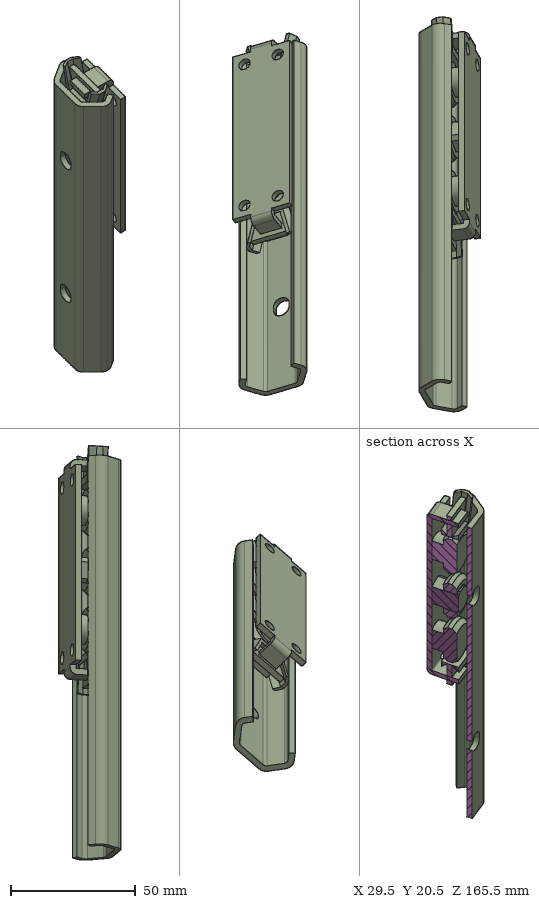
import cadquery as cq
import math

sheet = 2.5
race_angle = 37
race_y = 10.0
flank_run = math.tan(math.radians(race_angle))
flank_cos = math.cos(math.radians(race_angle))
flank_sin = math.sin(math.radians(race_angle))

rail_length = 160.1
rail_width = 29.5
rail_bend = 4.3
rail_lip_y = 15.0
slot_width = 7.0
slot_height = 8.6

bracket_back = 20.5
bracket_front = bracket_back - sheet
bracket_width = 25.5
bracket_length = 88.5
shoulder_inset = 4.0
tab_width = 9.5
tab_tip_y = 6.0
bend_inside = 0.2
bracket_mid_z = rail_length - bracket_length / 2
hole_diameter = 5.0
hole_spacing_x = 14.9
hole_spacing_z = 70.0

roller_pitch = 24.5
roller_radius = 10.0
roller_front = 6.8
roller_back = 2 * race_y - roller_front
roller_land = 2.0
hub_diameter = 12.0
bolt_size = 10.1
bolt_chamfer = 1.7
bolt_turn = -14
head_size = 10.8
head_chamfer = 2.6
head_turn = 45
head_front = 6.0

wiper_top = 165.5
wiper_bottom = 150.9
wiper_flare = 0.25
wiper_half_width = 11.5
wiper_wall = 1.5
wiper_half_depth = 4.0
wiper_land = 2.6
web_y = 10.3
web_top = 162.3
trough_floor = 151.7
trough_rim = 153.8
right_wing_top = 164.6
left_wing_peak_x = -8.1


def make_rail():
    """Folded channel with two slots in its front wall."""
    half_turn = math.radians(90 - race_angle) / 2
    side_x = rail_width / 2 - rail_bend + rail_bend / flank_cos
    front_x = side_x - race_y * flank_run
    lip_x = side_x - (rail_lip_y - race_y) * flank_run
    outer = [(front_x, 0), (side_x, race_y)]
    inner = [(front_x - sheet * math.tan(half_turn), sheet), (side_x - sheet / flank_cos, race_y)]
    lip = [(lip_x, rail_lip_y), (lip_x - sheet * flank_cos, rail_lip_y - sheet * flank_sin)]
    right = outer + lip + inner[::-1]
    left = [(-x, y) for x, y in reversed(right)]
    rail = cq.Workplane("XY").polyline(right + left).close().extrude(rail_length)

    for corners, radius in ((outer, rail_bend), (inner, rail_bend - sheet)):
        for x, y in corners:
            for side in (-1, 1):
                corner = cq.selectors.NearestToPointSelector((side * x, y, rail_length / 2))
                rail = rail.edges("|Z").edges(corner).fillet(radius)

    slots = (
        cq.Workplane("XZ")
        .pushPoints([(0, rail_length / 4), (0, rail_length * 3 / 4)])
        .slot2D(slot_height, slot_width, 90)
        .extrude(-2 * sheet)
    )
    return rail.cut(slots)


def make_bracket():
    """Flat plate with a narrow tab bent forwards at each end."""
    span = bracket_back - tab_tip_y
    strap = (
        cq.Workplane("XY")
        .box(tab_width, span, bracket_length)
        .edges(">Y and |X")
        .fillet(bend_inside + sheet)
    )
    inside = (
        cq.Workplane("XY")
        .box(tab_width, span, bracket_length - 2 * sheet)
        .edges(">Y and |X")
        .fillet(bend_inside)
        .translate((0, -sheet, 0))
    )
    strap = strap.cut(inside).translate((0, (bracket_back + tab_tip_y) / 2, 0))
    plate = (
        cq.Workplane("XY")
        .box(bracket_width, sheet, bracket_length - 2 * shoulder_inset)
        .translate((0, bracket_back - sheet / 2, 0))
    )
    holes = (
        cq.Workplane("XZ", origin=(0, bracket_front, 0))
        .rarray(hole_spacing_x, hole_spacing_z, 2, 2)
        .circle(hole_diameter / 2)
        .extrude(-sheet)
    )
    return strap.union(plate).cut(holes).translate((0, 0, bracket_mid_z))


def make_roller(z):
    """Double-cone roller turning about Y."""
    land_front = race_y - roller_land / 2
    land_back = race_y + roller_land / 2
    rim_radius = roller_radius - (land_front - roller_front) * flank_run
    profile = [
        (0, roller_front),
        (rim_radius, roller_front),
        (roller_radius, land_front),
        (roller_radius, land_back),
        (rim_radius, roller_back),
        (0, roller_back),
    ]
    roller = cq.Workplane("XY").polyline(profile).close().revolve(360, (0, 0), (0, 1))
    return roller.translate((0, 0, z))


def make_hubbed_roller(z):
    """Roller with a round hub that stands against the bracket."""
    hub = (
        cq.Workplane("XZ", origin=(0, roller_back, z))
        .circle(hub_diameter / 2)
        .extrude(roller_back - bracket_front)
    )
    return make_roller(z).union(hub)


def chamfered_square(size, chamfer, turn, front, back):
    """Square bar along Y with cut corners, turned about its axis."""
    bar = cq.Workplane("XY").box(size, back - front, size).edges("|Y").chamfer(chamfer)
    bar = bar.rotate((0, 0, 0), (0, 1, 0), turn)
    return bar.translate((0, (front + back) / 2, bracket_mid_z))


def make_bolt():
    """Square bolt through the middle roller."""
    shank = chamfered_square(bolt_size, bolt_chamfer, bolt_turn, roller_front, bracket_front)
    head = chamfered_square(head_size, head_chamfer, head_turn, head_front, roller_front)
    return shank.union(head)


def flared_block(top_half_width):
    """Block with a wiper's cross-section, widening in X towards its top."""
    def section(z):
        half_width = top_half_width - wiper_flare * (wiper_top - z)
        end_x = half_width - (wiper_half_depth - wiper_land / 2) * flank_run
        right = [
            (end_x, race_y - wiper_half_depth),
            (half_width, race_y - wiper_land / 2),
            (half_width, race_y + wiper_land / 2),
            (end_x, race_y + wiper_half_depth),
        ]
        left = [(-x, y) for x, y in reversed(right)]
        return cq.Wire.makePolygon([cq.Vector(x, y, z) for x, y in right + left], close=True)

    return cq.Workplane(cq.Solid.makeLoft([section(wiper_bottom), section(wiper_top)], True))


def make_wiper():
    """Upper wiper: two flared wings joined by a cross web that the bracket tab goes through."""
    front = race_y - wiper_half_depth
    back = race_y + wiper_half_depth
    web_front = web_y - sheet / 2
    web_back = web_front + sheet
    hollow_profile = [
        (front, trough_rim),
        (web_front, trough_floor),
        (web_front, web_top),
        (web_back, web_top),
        (web_back, trough_floor),
        (back, trough_rim),
        (back, wiper_top),
        (front, wiper_top),
    ]
    hollow = (
        cq.Workplane("YZ", origin=(-rail_width / 2, 0, 0))
        .polyline(hollow_profile)
        .close()
        .extrude(rail_width)
        .intersect(flared_block(wiper_half_width - wiper_wall))
    )
    left_edge = -rail_width / 2
    wing_tops = (
        cq.Workplane("XZ")
        .moveTo(left_edge, wiper_bottom)
        .lineTo(left_edge, wiper_top + wiper_flare * (left_edge - left_wing_peak_x))
        .lineTo(left_wing_peak_x, wiper_top)
        .lineTo(0, wiper_top)
        .lineTo(0, right_wing_top)
        .lineTo(rail_width / 2, right_wing_top)
        .lineTo(rail_width / 2, wiper_bottom)
        .close()
        .extrude(-bracket_back)
    )
    tab_hole = (
        cq.Workplane("XY")
        .box(tab_width, 2 * wiper_half_depth, sheet)
        .translate((0, race_y, rail_length - sheet / 2))
    )
    return flared_block(wiper_half_width).cut(hollow).intersect(wing_tops).cut(tab_hole)


rail = make_rail()
bracket = make_bracket()
outer_rollers = [make_hubbed_roller(bracket_mid_z + side * roller_pitch) for side in (-1, 1)]
bolt = make_bolt()
middle_roller = make_roller(bracket_mid_z).cut(bolt)
upper_wiper = make_wiper()
lower_wiper = upper_wiper.mirror("XY", (0, 0, bracket_mid_z))

result = cq.Compound.makeCompound([
    rail.val(),
    bracket.val(),
    *[roller.val() for roller in outer_rollers],
    middle_roller.val(),
    bolt.val(),
    upper_wiper.val(),
    lower_wiper.val(),
])